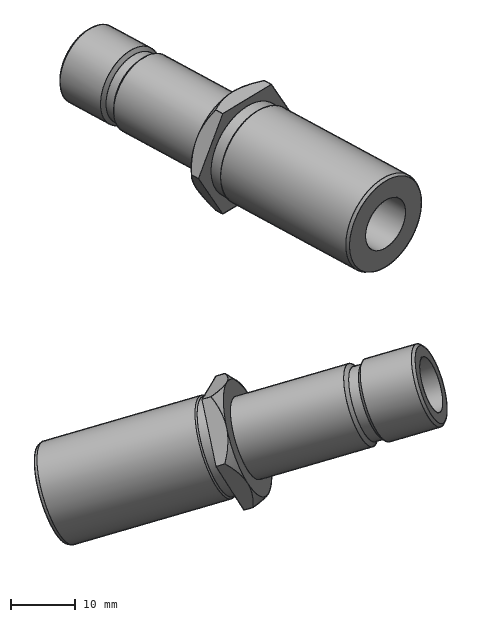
import cadquery as cq

length = 63.5
groove_start = 9.1
groove_end = 11.9
hex_start = 31.0
hex_end = 34.0
body_start = 36.0

tube_radius = 6.7
groove_radius = 6.1
neck_radius = 8.1
body_radius = 8.4
bore_radius = 4.5
across_flats = 19.0

tube_chamfer = 0.45
groove_flank = 0.6
body_end_chamfer_length = 0.6
body_edge_step = body_radius - neck_radius

corner_radius = across_flats / 3 ** 0.5
corner_chamfer = corner_radius - across_flats / 2


def revolve_about_axis(profile_points):
    """Revolve a closed (x, radius) outline about the X axis."""
    return cq.Workplane("XY").polyline(profile_points).close().revolve(360, (0, 0, 0), (1, 0, 0))


def make_stepped_shaft():
    """Grooved tube, neck and body turned as one profile."""
    return revolve_about_axis([
        (0, 0),
        (0, tube_radius - tube_chamfer),
        (tube_chamfer, tube_radius),
        (groove_start, tube_radius),
        (groove_start + groove_flank, groove_radius),
        (groove_end - groove_flank, groove_radius),
        (groove_end, tube_radius),
        (hex_start, tube_radius),
        (hex_start, neck_radius),
        (body_start, neck_radius),
        (body_start + body_edge_step, body_radius),
        (length - body_end_chamfer_length, body_radius),
        (length, neck_radius),
        (length, 0),
    ])


def make_hex_flange():
    """Hexagon with corners on Y, its tube-side corners turned off at 45 degrees."""
    hexagon = (
        cq.Workplane("YZ", origin=(hex_start, 0, 0))
        .polygon(6, 2 * corner_radius)
        .extrude(hex_end - hex_start)
    )
    corner_envelope = revolve_about_axis([
        (hex_start, 0),
        (hex_start, across_flats / 2),
        (hex_start + corner_chamfer, corner_radius),
        (hex_end, corner_radius),
        (hex_end, 0),
    ])
    return hexagon.intersect(corner_envelope)


def make_bore():
    """Plain hole through the whole length."""
    return cq.Workplane("YZ").circle(bore_radius).extrude(length)


result = make_stepped_shaft().union(make_hex_flange()).cut(make_bore())